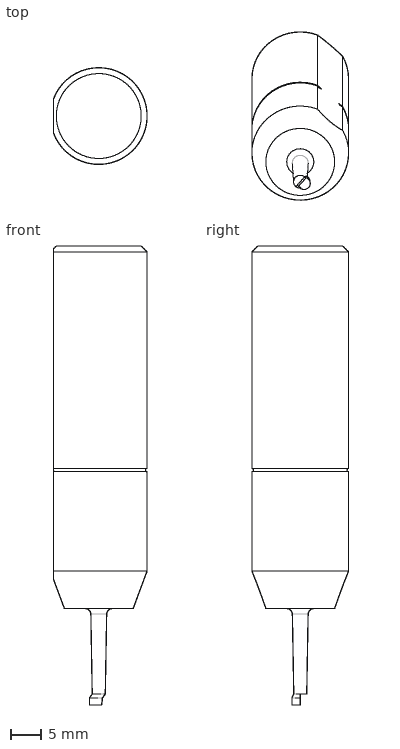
import cadquery as cq

overall_length = 76.0
shank_diameter = 16.0
shank_radius = shank_diameter / 2
flat_distance = 7.5
top_chamfer = 1.0
nose_start_z = 22.2
nose_end_z = 15.95
nose_end_radius = 5.7
groove_z = 38.9
groove_radius = 0.265

root_fillet = 0.9
neck_top_diameter = 2.65
neck_top_radius = neck_top_diameter / 2
neck_end_diameter = 2.2
neck_end_radius = neck_end_diameter / 2
neck_end_z = 1.8
shoulder_z = 1.2
tip_offset_x = -0.45
tip_offset_y = -0.3
tip_end_diameter = 2.05
tip_end_radius = tip_end_diameter / 2
tip_relief = neck_end_radius - tip_end_radius
cutter_size = 4 * neck_top_radius


def make_holder():
    blank = (
        cq.Workplane("XZ")
        .moveTo(0, nose_end_z)
        .lineTo(nose_end_radius, nose_end_z)
        .lineTo(shank_radius, nose_start_z)
        .lineTo(shank_radius, overall_length - top_chamfer)
        .lineTo(shank_radius - top_chamfer, overall_length)
        .lineTo(0, overall_length)
        .close()
        .revolve(360, (0, 0, 0), (0, 1, 0))
    )
    groove = (
        cq.Workplane("XZ")
        .center(shank_radius, groove_z)
        .circle(groove_radius)
        .revolve(360, (-shank_radius, 0, 0), (-shank_radius, 1, 0))
    )
    flat_cutter = (
        cq.Workplane("XY")
        .box(shank_radius, 2 * shank_diameter, overall_length, centered=(False, True, False))
        .translate((-flat_distance - shank_radius, 0, 0))
    )
    return blank.cut(groove).cut(flat_cutter)


def make_neck():
    root_end_z = nose_end_z - root_fillet
    root_center_x = neck_top_radius + root_fillet
    root_diagonal = root_fillet * 0.5 ** 0.5
    return (
        cq.Workplane("XZ")
        .moveTo(0, neck_end_z)
        .lineTo(neck_end_radius, neck_end_z)
        .lineTo(neck_top_radius, root_end_z)
        .threePointArc(
            (root_center_x - root_diagonal, root_end_z + root_diagonal),
            (root_center_x, nose_end_z),
        )
        .lineTo(0, nose_end_z)
        .close()
        .revolve(360, (0, 0, 0), (0, 1, 0))
    )


def make_tip_section(start, end):
    """Ruled round section between two (x, y, z, radius) circles, kept only on the -Y side."""
    wires = [
        cq.Wire.makeCircle(radius, cq.Vector(x, y, z), cq.Vector(0, 0, 1))
        for x, y, z, radius in (start, end)
    ]
    section = cq.Workplane(cq.Solid.makeLoft(wires, True))
    back_cutter = (
        cq.Workplane("XY")
        .box(cutter_size, cutter_size, neck_end_z, centered=(True, False, False))
    )
    return section.cut(back_cutter)


def make_boring_bar():
    neck_end = (0, 0, neck_end_z, neck_end_radius)
    shoulder = (tip_offset_x, tip_offset_y, shoulder_z, neck_end_radius)
    tip_end = (tip_offset_x - tip_relief, tip_offset_y - tip_relief, 0, tip_end_radius)
    return (
        make_neck()
        .union(make_tip_section(neck_end, shoulder))
        .union(make_tip_section(shoulder, tip_end))
    )


holder = make_holder()
boring_bar = make_boring_bar()

result = cq.Compound.makeCompound([holder.solids().val(), boring_bar.solids().val()])